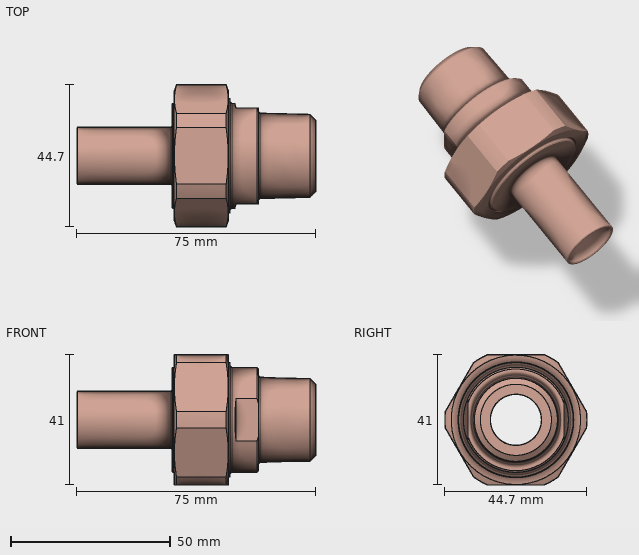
import cadquery as cq
import math


total_length = 75.0
bore_radius = 16.0 / 2
seat_x = 37.5
shoulder_radius = 36.0 / 2

tube_radius = 18.0 / 2
tube_outer_chamfer = 0.2
tube_bore_chamfer = 0.3
tube_root_fillet = 0.4
flange_start_x = 29.8
flange_radius = 33.0 / 2
flange_chamfer = 0.4

nut_start_x = 30.5
nut_end_x = 47.55
nut_across_flats = 41.0
nut_corner_diameter = 44.7
nut_face_radius = 20.3
nut_chamfer_length = 0.71
nut_lip_end_x = 32.25
nut_lip_bore_radius = 33.5 / 2
nut_recess_radius = 17.25
nut_recess_depth = 0.4
nut_thread_radius = 36.4 / 2

male_collar_end_x = 48.1
male_barrel_radius = 33.0 / 2
male_barrel_end_x = 57.0
male_barrel_fillet = 0.75
male_barrel_chamfer = 0.5
male_flat_start_x = 49.95
male_flat_distance = 15.1
flat_runout_length = 0.4
taper_root_radius = 13.4
taper_root_fillet = 0.7
taper_tip_radius = 13.05
tip_chamfer = 1.9


def revolve_about_x(sketch):
    """Revolve a profile drawn as (x, radius) fully around the X axis."""
    return sketch.close().revolve(360, (0, 0, 0), (1, 0, 0))


def cylinder_x(start_x, end_x, radius):
    """Solid cylinder along the X axis."""
    return cq.Workplane("YZ", origin=(start_x, 0, 0)).circle(radius).extrude(end_x - start_x)


def fillet_midpoint(center_x, center_radius, fillet):
    """Middle of a concave fillet arc that runs from a face at -X to a cylinder nearer the axis."""
    offset = fillet * math.sqrt(0.5)
    return (center_x - offset, center_radius - offset)


def make_tailpiece():
    root_center = (flange_start_x - tube_root_fillet, tube_radius + tube_root_fillet)
    root_offset = tube_root_fillet * math.sqrt(0.5)
    profile = (
        cq.Workplane("XY")
        .moveTo(0, bore_radius + tube_bore_chamfer)
        .lineTo(0, tube_radius - tube_outer_chamfer)
        .lineTo(tube_outer_chamfer, tube_radius)
        .lineTo(root_center[0], tube_radius)
        .threePointArc(
            (root_center[0] + root_offset, root_center[1] - root_offset),
            (flange_start_x, root_center[1]),
        )
        .lineTo(flange_start_x, flange_radius - flange_chamfer)
        .lineTo(flange_start_x + flange_chamfer, flange_radius)
        .lineTo(nut_lip_end_x, flange_radius)
        .lineTo(nut_lip_end_x, shoulder_radius)
        .lineTo(seat_x, shoulder_radius)
        .lineTo(seat_x, bore_radius)
        .lineTo(tube_bore_chamfer, bore_radius)
    )
    return revolve_about_x(profile)


def make_nut():
    hexagon = (
        cq.Workplane("YZ", origin=(nut_start_x, 0, 0))
        .polygon(6, nut_across_flats / math.cos(math.pi / 6))
        .extrude(nut_end_x - nut_start_x)
    )
    corner_radius = nut_corner_diameter / 2
    envelope = revolve_about_x(
        cq.Workplane("XY")
        .moveTo(nut_start_x, 0)
        .lineTo(nut_start_x, nut_face_radius)
        .lineTo(nut_start_x + nut_chamfer_length, corner_radius)
        .lineTo(nut_end_x - nut_chamfer_length, corner_radius)
        .lineTo(nut_end_x, nut_face_radius)
        .lineTo(nut_end_x, 0)
    )
    lip_bore = cylinder_x(nut_start_x, nut_lip_end_x, nut_lip_bore_radius)
    entry_recess = cylinder_x(nut_start_x, nut_start_x + nut_recess_depth, nut_recess_radius)
    thread_bore = cylinder_x(nut_lip_end_x, nut_end_x, nut_thread_radius)
    return hexagon.intersect(envelope).cut(lip_bore).cut(entry_recess).cut(thread_bore)


def wrench_flat_cutter(side):
    """Block that cuts one flat; side is +1 for +Y and -1 for -Y. Its end slopes out to the barrel surface."""
    outer_y = male_barrel_radius
    return (
        cq.Workplane("XY")
        .workplane(offset=-male_barrel_radius)
        .moveTo(male_flat_start_x, side * male_flat_distance)
        .lineTo(male_barrel_end_x, side * male_flat_distance)
        .lineTo(male_barrel_end_x, side * outer_y)
        .lineTo(male_flat_start_x - flat_runout_length, side * outer_y)
        .close()
        .extrude(2 * male_barrel_radius)
    )


def make_male_end():
    barrel_center = (male_collar_end_x + male_barrel_fillet, male_barrel_radius + male_barrel_fillet)
    taper_center = (male_barrel_end_x + taper_root_fillet, taper_root_radius + taper_root_fillet)
    profile = (
        cq.Workplane("XY")
        .moveTo(seat_x, bore_radius)
        .lineTo(seat_x, shoulder_radius)
        .lineTo(male_collar_end_x, shoulder_radius)
        .lineTo(male_collar_end_x, barrel_center[1])
        .threePointArc(
            fillet_midpoint(*barrel_center, male_barrel_fillet),
            (barrel_center[0], male_barrel_radius),
        )
        .lineTo(male_barrel_end_x - male_barrel_chamfer, male_barrel_radius)
        .lineTo(male_barrel_end_x, male_barrel_radius - male_barrel_chamfer)
        .lineTo(male_barrel_end_x, taper_center[1])
        .threePointArc(
            fillet_midpoint(*taper_center, taper_root_fillet),
            (taper_center[0], taper_root_radius),
        )
        .lineTo(total_length - tip_chamfer, taper_tip_radius)
        .lineTo(total_length, taper_tip_radius - tip_chamfer)
        .lineTo(total_length, bore_radius)
    )
    male_end = revolve_about_x(profile)
    for side in (1, -1):
        male_end = male_end.cut(wrench_flat_cutter(side))
    return male_end


tailpiece = make_tailpiece()
nut = make_nut()
male_end = make_male_end()

result = cq.Compound.makeCompound([body.solids().val() for body in (tailpiece, nut, male_end)])